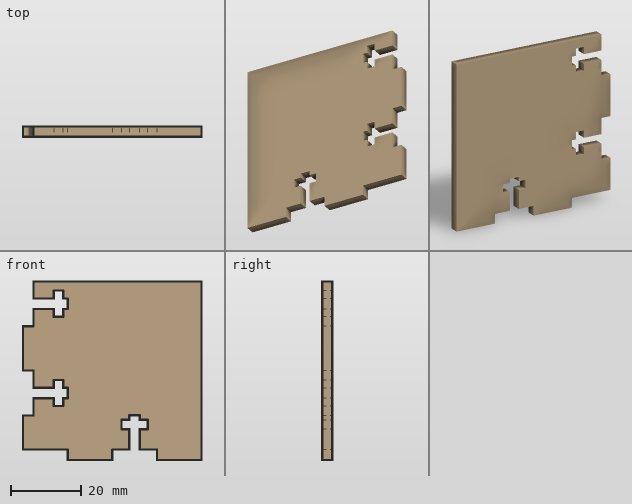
import cadquery as cq

side = 50.8
thickness = 2.97

finger_count = 4
pitch = side / finger_count
finger_depth = thickness

slot_width = 2.9
slot_depth = pitch
nut_width = 7.35
nut_thickness = 2.6
nut_start = 8.8

left_recesses = (1, 3)
bottom_recess = 2


def block(x_start, z_start, x_size, z_size):
    """Box through the full panel thickness with its lower-left corner at (x_start, z_start)."""
    return cq.Workplane("XY").box(x_size, thickness, z_size, centered=False).translate((x_start, 0, z_start))


def left_cutter(index):
    """Recess and T-slot cut into one pitch of the left edge."""
    start = index * pitch
    middle = start + pitch / 2
    recess = block(0, start, finger_depth, pitch)
    slot = block(0, middle - slot_width / 2, slot_depth, slot_width)
    nut = block(nut_start, middle - nut_width / 2, nut_thickness, nut_width)
    return recess.union(slot).union(nut)


def bottom_cutter(index):
    """Recess and T-slot cut into one pitch of the bottom edge."""
    start = index * pitch
    middle = start + pitch / 2
    recess = block(start, 0, pitch, finger_depth)
    slot = block(middle - slot_width / 2, 0, slot_width, slot_depth)
    nut = block(middle - nut_width / 2, nut_start, nut_width, nut_thickness)
    return recess.union(slot).union(nut)


panel = block(0, 0, side, side)

for recess_index in left_recesses:
    panel = panel.cut(left_cutter(recess_index))

panel = panel.cut(bottom_cutter(bottom_recess))

panel = panel.cut(block(0, 0, pitch, finger_depth))

result = panel